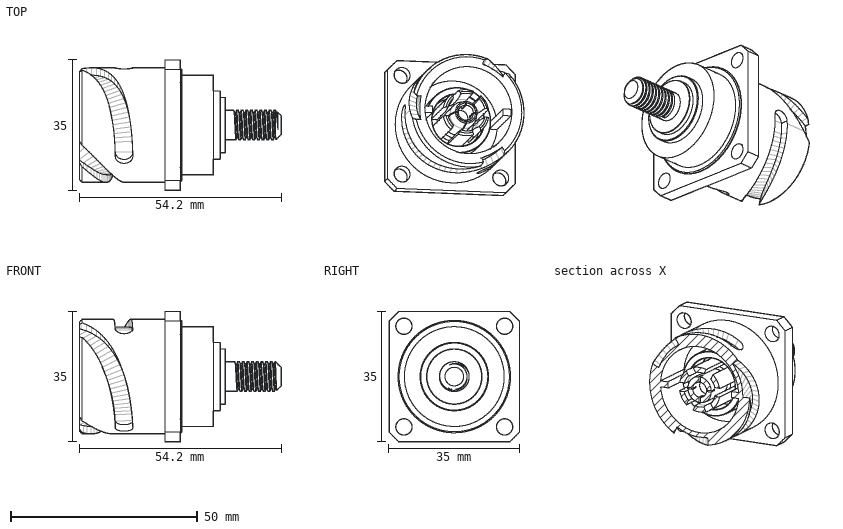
import cadquery as cq
import math


FLANGE_FRONT = 23.0
FLANGE_THICKNESS = 4.1
FLANGE_REAR = FLANGE_FRONT + FLANGE_THICKNESS
SHOULDER_END = FLANGE_REAR + 0.5
REAR_BODY_END = 36.0
COLLAR_END = 37.9
WASHER_END = 39.25
TOTAL_LENGTH = 54.2

SHELL_RADIUS = 15.4
SHELL_CHAMFER = 0.8
FLANGE_SIDE = 35.0
FLANGE_CORNER_CHAMFER = 2.6
SHOULDER_RADIUS = 15.1
SHOULDER_CHAMFER = 0.3
REAR_BODY_RADIUS = 13.4
COLLAR_RADIUS = 9.2
COLLAR_CHAMFER = 0.2
WASHER_RADIUS = 7.45
WASHER_CHAMFER = 0.1
MOUNT_HOLE_SPACING = 27.0
MOUNT_HOLE_DIAMETER = 4.3

STUD_RADIUS = 4.0
STUD_TIP_CHAMFER = 1.5
THREAD_PITCH = 1.25
THREAD_DEPTH = 0.6
THREAD_ROOT_WIDTH = 0.3
THREAD_MOUTH_WIDTH = 0.8
THREAD_START = 41.5
THREAD_OVERCUT = 0.1
THREAD_BLANK_EXTRA = 3 * THREAD_PITCH

BORE_RADIUS = 11.9
BORE_DEPTH = 20.0
KEY_FRONT = 1.0
KEY_WIDTH = 1.8
KEY_HEIGHT = 2.2
KEY_WALL_OVERLAP = 0.3

SOCKET_FRONT = 14.0
SOCKET_RADIUS = 8.95
SOCKET_BORE_RADIUS = 7.1
SOCKET_CHAMFER = 0.15
FINGER_FRONT = 2.7
FINGER_OUTER_RADIUS = 6.3
FINGER_INNER_RADIUS = 4.65
FINGER_TIP_OUTER_RADIUS = 5.7
FINGER_TIP_INNER_RADIUS = 5.15
FINGER_OUTER_BEVEL_LENGTH = 0.8
FINGER_INNER_TAPER_LENGTH = 6.0
FINGER_SLOT_WIDTH = 2.3
FINGER_COUNT = 6
SEAT_FRONT = 16.0
PIN_FRONT = 3.0
PIN_TIP_RADIUS = 2.95
PIN_RADIUS = 3.65
PIN_TAPER_LENGTH = 4.0
PIN_BORE_RADIUS = 2.05
PIN_BORE_MOUTH_RADIUS = 2.55
PIN_BORE_CHAMFER_LENGTH = 0.5
PIN_BORE_DEPTH = 8.0
PIN_SLIT_WIDTH = 0.25
PIN_SLIT_DEPTH = 6.0

GROOVE_COUNT = 3
GROOVE_WIDTH = 4.7
GROOVE_FLOOR_RADIUS = 13.3
GROOVE_OVERCUT = 2.0
GROOVE_TOP_RADIUS = SHELL_RADIUS + GROOVE_OVERCUT
GROOVE_END_X = 12.03
GROOVE_END_ANGLE = 243.0
GROOVE_LEVEL_ANGLE = 262.4
GROOVE_RISE = 4.18e-6
GROOVE_FIRST_FACET = 229.6
GROOVE_STEP = 5.4
GROOVE_FACETS = 25


def disc(x_front, x_rear, radius):
    return cq.Workplane("YZ", origin=(x_front, 0, 0)).circle(radius).extrude(x_rear - x_front)


def tube(x_front, x_rear, outer_radius, inner_radius):
    return disc(x_front, x_rear, outer_radius).cut(disc(x_front, x_rear, inner_radius))


def make_flange():
    flange = (
        cq.Workplane("YZ", origin=(FLANGE_FRONT, 0, 0))
        .rect(FLANGE_SIDE, FLANGE_SIDE)
        .extrude(FLANGE_THICKNESS)
        .edges("|X")
        .chamfer(FLANGE_CORNER_CHAMFER)
    )
    holes = (
        cq.Workplane("YZ", origin=(FLANGE_FRONT, 0, 0))
        .rect(MOUNT_HOLE_SPACING, MOUNT_HOLE_SPACING, forConstruction=True)
        .vertices()
        .circle(MOUNT_HOLE_DIAMETER / 2)
        .extrude(FLANGE_THICKNESS)
    )
    return flange.cut(holes)


def make_shell():
    shell = disc(0, FLANGE_FRONT, SHELL_RADIUS).faces("<X").chamfer(SHELL_CHAMFER)
    shoulder = disc(FLANGE_REAR, SHOULDER_END, SHOULDER_RADIUS).faces(">X").chamfer(SHOULDER_CHAMFER)
    rear_body = disc(SHOULDER_END, REAR_BODY_END, REAR_BODY_RADIUS)
    collar = disc(REAR_BODY_END, COLLAR_END, COLLAR_RADIUS).faces(">X").chamfer(COLLAR_CHAMFER)
    washer = disc(COLLAR_END, WASHER_END, WASHER_RADIUS).faces(">X").chamfer(WASHER_CHAMFER)
    body = shell.union(make_flange())
    for section in (shoulder, rear_body, collar, washer):
        body = body.union(section)
    return body.cut(disc(0, BORE_DEPTH, BORE_RADIUS))


def radial_direction(angle):
    return cq.Vector(0, math.cos(math.radians(angle)), math.sin(math.radians(angle)))


def groove_section(angle):
    """Rectangle across the groove, square to its path at one angle."""
    from_level = GROOVE_LEVEL_ANGLE - angle
    x = GROOVE_END_X - GROOVE_RISE * from_level**3
    slope = 3 * GROOVE_RISE * from_level**2 / math.radians(GROOVE_FLOOR_RADIUS)
    radial = radial_direction(angle)
    around = cq.Vector(1, 0, 0).cross(radial)
    across = (cq.Vector(1, 0, 0) - around * slope).normalized()
    half_width = across * (GROOVE_WIDTH / 2)
    floor = cq.Vector(x, 0, 0) + radial * GROOVE_FLOOR_RADIUS
    top = cq.Vector(x, 0, 0) + radial * GROOVE_TOP_RADIUS
    corners = [floor - half_width, floor + half_width, top + half_width, top - half_width]
    return cq.Wire.makePolygon(corners, close=True)


def make_groove():
    angles = [GROOVE_END_ANGLE]
    angles += [GROOVE_FIRST_FACET - GROOVE_STEP * i for i in range(GROOVE_FACETS)]
    channel = cq.Solid.makeLoft([groove_section(angle) for angle in angles], ruled=True)
    radial = radial_direction(GROOVE_END_ANGLE)
    end = cq.Solid.makeCylinder(
        GROOVE_WIDTH / 2,
        GROOVE_TOP_RADIUS - GROOVE_FLOOR_RADIUS,
        cq.Vector(GROOVE_END_X, 0, 0) + radial * GROOVE_FLOOR_RADIUS,
        radial,
    )
    return cq.Workplane(channel).union(cq.Workplane(end))


def cut_grooves(body):
    groove = make_groove()
    for i in range(GROOVE_COUNT):
        body = body.cut(groove.rotate((0, 0, 0), (1, 0, 0), i * 360 / GROOVE_COUNT))
    return body


def make_keys():
    """Two straight ribs standing on opposite sides of the bore."""
    length = BORE_DEPTH - KEY_FRONT
    center_y = BORE_RADIUS - (KEY_HEIGHT - KEY_WALL_OVERLAP) / 2
    return (
        cq.Workplane("YZ", origin=(KEY_FRONT, 0, 0))
        .pushPoints([(center_y, 0), (-center_y, 0)])
        .rect(KEY_HEIGHT + KEY_WALL_OVERLAP, KEY_WIDTH)
        .extrude(length)
    )


def revolve_about_axis(points):
    """Solid of revolution about X from a closed outline of (x, radius) points."""
    return cq.Workplane("XY").polyline(points).close().revolve(360, (0, 0, 0), (1, 0, 0))


def make_fingers():
    """Ring of tapered spring fingers, parted by slots across the bore."""
    fingers = revolve_about_axis([
        (FINGER_FRONT, FINGER_TIP_INNER_RADIUS),
        (FINGER_FRONT, FINGER_TIP_OUTER_RADIUS),
        (FINGER_FRONT + FINGER_OUTER_BEVEL_LENGTH, FINGER_OUTER_RADIUS),
        (BORE_DEPTH, FINGER_OUTER_RADIUS),
        (BORE_DEPTH, FINGER_INNER_RADIUS),
        (FINGER_FRONT + FINGER_INNER_TAPER_LENGTH, FINGER_INNER_RADIUS),
    ])
    slot = cq.Workplane("XY").box(BORE_DEPTH, 2 * BORE_RADIUS, FINGER_SLOT_WIDTH)
    slot = slot.translate((BORE_DEPTH / 2, 0, 0))
    for i in range(FINGER_COUNT // 2):
        fingers = fingers.cut(slot.rotate((0, 0, 0), (1, 0, 0), i * 360 / FINGER_COUNT))
    return fingers


def make_pin():
    """Hollow centre contact with a tapered nose split by two crossed slits."""
    pin = revolve_about_axis([
        (PIN_FRONT, PIN_BORE_MOUTH_RADIUS),
        (PIN_FRONT, PIN_TIP_RADIUS),
        (PIN_FRONT + PIN_TAPER_LENGTH, PIN_RADIUS),
        (BORE_DEPTH, PIN_RADIUS),
        (BORE_DEPTH, 0),
        (PIN_FRONT + PIN_BORE_DEPTH, 0),
        (PIN_FRONT + PIN_BORE_DEPTH, PIN_BORE_RADIUS),
        (PIN_FRONT + PIN_BORE_CHAMFER_LENGTH, PIN_BORE_RADIUS),
    ])
    slit = cq.Workplane("XY").box(PIN_SLIT_DEPTH, 2 * BORE_RADIUS, PIN_SLIT_WIDTH)
    slit = slit.translate((PIN_FRONT + PIN_SLIT_DEPTH / 2, 0, 0))
    for turn in (0, 90):
        pin = pin.cut(slit.rotate((0, 0, 0), (1, 0, 0), turn))
    return pin


def make_seat():
    """Low round step around the foot of the centre contact."""
    return disc(SEAT_FRONT, BORE_DEPTH, FINGER_INNER_RADIUS)


def make_socket():
    socket = tube(SOCKET_FRONT, BORE_DEPTH, SOCKET_RADIUS, SOCKET_BORE_RADIUS)
    return socket.faces("<X").chamfer(SOCKET_CHAMFER)


def make_thread_groove():
    """Helical right-hand groove that runs out past the tip of the stud."""
    root_radius = STUD_RADIUS - THREAD_DEPTH
    length = TOTAL_LENGTH + THREAD_PITCH - THREAD_START
    half_root = THREAD_ROOT_WIDTH / 2
    flank = (THREAD_MOUTH_WIDTH - THREAD_ROOT_WIDTH) / 2 / THREAD_DEPTH
    half_mouth = half_root + flank * (THREAD_DEPTH + THREAD_OVERCUT)
    mouth_radius = STUD_RADIUS + THREAD_OVERCUT
    helix = cq.Wire.makeHelix(THREAD_PITCH, length, STUD_RADIUS)
    groove = (
        cq.Workplane("XZ")
        .polyline([
            (root_radius, -half_root),
            (mouth_radius, -half_mouth),
            (mouth_radius, half_mouth),
            (root_radius, half_root),
        ])
        .close()
        .sweep(cq.Workplane(helix), isFrenet=True)
    )
    upright = groove.rotate((0, 0, 0), (0, 1, 0), 90)
    return upright.translate((THREAD_START, 0, 0))


def make_stud():
    blank = disc(WASHER_END, TOTAL_LENGTH + THREAD_BLANK_EXTRA, STUD_RADIUS).cut(make_thread_groove())
    stud = disc(WASHER_END, TOTAL_LENGTH, STUD_RADIUS).faces(">X").chamfer(STUD_TIP_CHAMFER)
    return blank.intersect(stud)


result = cut_grooves(make_shell())
for part in (make_keys(), make_socket(), make_fingers(), make_seat(), make_pin(), make_stud()):
    result = result.union(part)